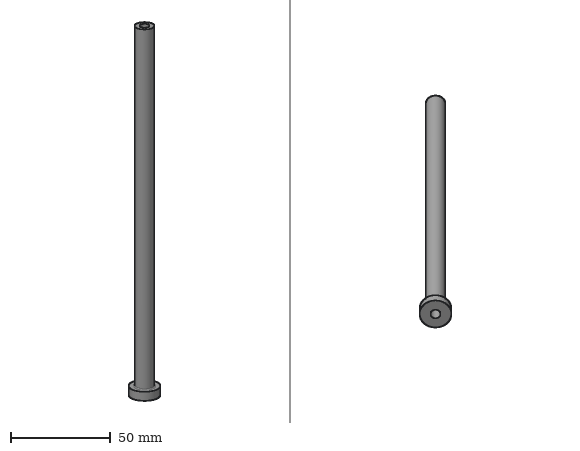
import cadquery as cq

total_length = 200.0
head_diameter = 16.0
head_height = 5.0
tube_diameter = 10.0
bore_diameter = 5.0
neck_fillet = 0.5

head_radius = head_diameter / 2
tube_radius = tube_diameter / 2
bore_radius = bore_diameter / 2

half_section = (
    cq.Workplane("XZ")
    .moveTo(bore_radius, 0)
    .lineTo(head_radius, 0)
    .lineTo(head_radius, head_height)
    .lineTo(tube_radius + neck_fillet, head_height)
    .radiusArc((tube_radius, head_height + neck_fillet), neck_fillet)
    .lineTo(tube_radius, total_length)
    .lineTo(bore_radius, total_length)
    .close()
)

result = half_section.revolve(360, (0, 0), (0, 1))